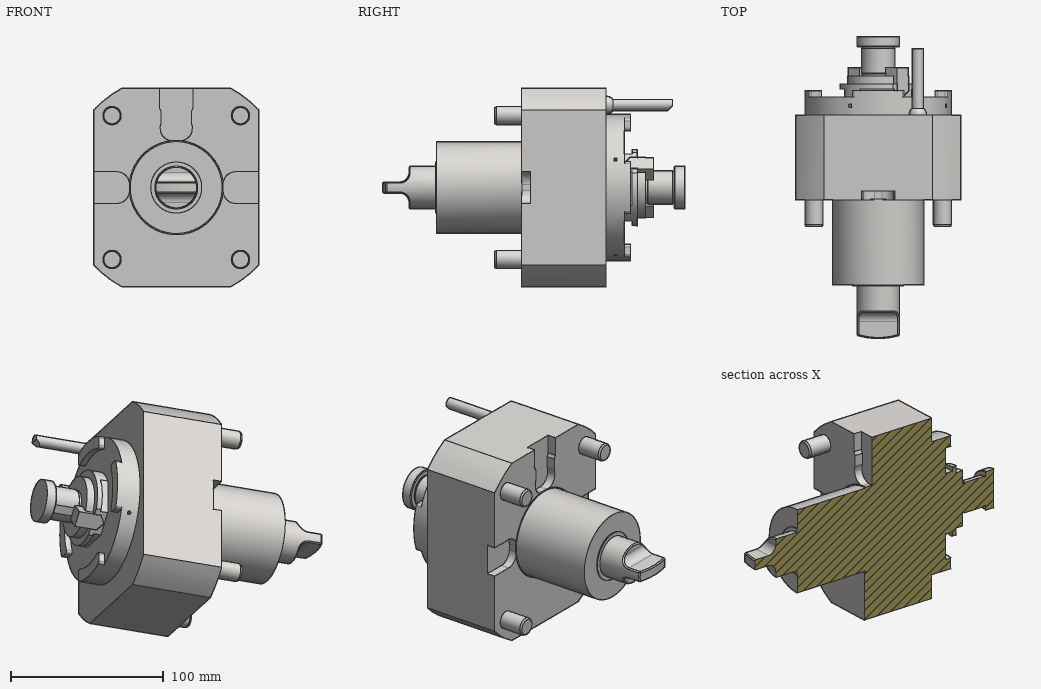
import cadquery as cq
import math


total_length = 197.5

block_width = 108.0
block_height = 130.0
block_depth = 55.5
block_corner_radius = 74.0

slot_depth = 6.0
slot_end_distance = 30.6
side_slot_width = 20.7
side_slot_corner_radius = 8.3
top_slot_half_width = 11.0
top_slot_neck_half_width = 9.9
top_slot_end_half_width = 10.5
top_slot_corner_radius = 7.9
top_slot_mouth_z = 52.1
top_slot_neck_top_z = 49.8
top_slot_neck_bottom_z = 42.0
top_slot_end_z = 40.0

pin_diameter = 12.0
pin_length = 17.4
pin_spacing_x = 84.0
pin_spacing_z = 94.0
pin_chamfer_length = 1.28
pin_chamfer_width = 0.7

barrel_diameter = 60.0
barrel_length = 55.5
groove_diameter = 61.6
groove_depth = 0.5
collar_diameter = 33.4
collar_length = 0.5
shaft_diameter = 28.0
shaft_tip_y = -90.7
tongue_shoulder_y = -73.5
tongue_thickness = 7.5
tongue_root_radius = 6.0
tongue_tip_radius = 47.4
tongue_chamfer = 0.8

disc_diameter = 96.0
disc_rim_y = 67.3
castle_top_y = 71.5
castle_width = 34.0
castle_inner_radius = 39.9
castle_edge_radius = 1.8
pinhole_diameter = 2.2
pinhole_depth = 4.0
pinhole_y = 61.6
pinhole_first_angle = 22.5

flange_diameter = 50.0
flange_bottom_y = 72.5
flange_top_y = 75.8
hub_square = 44.0
flat_offset = 23.1
rear_collar_diameter = 40.0
rear_collar_top_y = 81.2

lug_angle = 45
lug_width = 10.5
lug_inner = 12.0
lug_outer = 22.5
lug_point_y = 67.5
lug_side_bottom_y = 71.1
lug_top_y = 86.5

neck_diameter = 22.1
neck_relief_diameter = 21.1
neck_bottom_y = 82.4
neck_top_y = 99.0
neck_chamfer = 0.5
neck_flat_offset = 10.7
head_diameter = 28.0
head_bottom_y = 100.0
head_chamfer = 0.5
head_top_y = shaft_tip_y + total_length

cable_x = 25.9
cable_z = 54.0
cable_diameter = 7.5
cable_end_y = 99.0
cable_cut = 3.4
grommet_diameter = 11.7


def workplane_at(y):
    """XZ sketch plane at the given y: local x is -X, local y is Z, extrusion goes to +Y."""
    return cq.Workplane(cq.Plane(origin=(0, y, 0), xDir=(-1, 0, 0), normal=(0, 1, 0)))


def disc(diameter, y_start, y_end, x=0, z=0):
    return workplane_at(y_start).center(-x, z).circle(diameter / 2).extrude(y_end - y_start)


def box(x_range, y_range, z_range):
    size = [high - low for low, high in (x_range, y_range, z_range)]
    corner = (x_range[0], y_range[0], z_range[0])
    return cq.Workplane(cq.Solid.makeBox(*size, cq.Vector(*corner)))


def turn(shape, angle):
    """Turn a shape about the main axis, from +X towards +Z for a positive angle."""
    return shape.rotate((0, 0, 0), (0, 1, 0), -angle)


def make_block():
    half_width = block_width / 2
    half_height = block_height / 2
    body = box((-half_width, half_width), (0, block_depth), (-half_height, half_height))
    body = body.intersect(disc(2 * block_corner_radius, 0, block_depth))
    groove = disc(groove_diameter, 0, groove_depth)
    return body.cut(side_slots()).cut(top_slot()).cut(groove)


def side_slots():
    outer_end = block_width / 2
    half_width = side_slot_width / 2
    slot = box((slot_end_distance, outer_end), (0, slot_depth), (-half_width, half_width))
    slot = slot.edges("|Y and <X").fillet(side_slot_corner_radius)
    return slot.union(turn(slot, 180))


def top_slot():
    right_side = [
        (top_slot_half_width, block_height / 2),
        (top_slot_half_width, top_slot_mouth_z),
        (top_slot_neck_half_width, top_slot_neck_top_z),
        (top_slot_neck_half_width, top_slot_neck_bottom_z),
        (top_slot_end_half_width, top_slot_end_z),
        (top_slot_end_half_width, slot_end_distance),
    ]
    left_side = [(-x, z) for x, z in reversed(right_side)]
    slot = workplane_at(0).polyline(right_side + left_side).close().extrude(slot_depth)
    return slot.edges("|Y and <Z").fillet(top_slot_corner_radius)


def make_pins():
    pins = (
        workplane_at(0)
        .rect(pin_spacing_x, pin_spacing_z, forConstruction=True)
        .vertices()
        .circle(pin_diameter / 2)
        .extrude(-pin_length)
    )
    return pins.faces("<Y").chamfer(pin_chamfer_length, pin_chamfer_width)


def make_shaft():
    shaft = disc(shaft_diameter, shaft_tip_y, block_depth)
    tip_center_y = shaft_tip_y + tongue_tip_radius
    tip_round = (
        cq.Workplane("XY", origin=(0, tip_center_y, 0))
        .circle(tongue_tip_radius)
        .extrude(shaft_diameter, both=True)
    )
    tip_zone = disc(2 * shaft_diameter, tip_center_y, block_depth)
    shaft = shaft.intersect(tip_round.union(tip_zone))

    half_thickness = tongue_thickness / 2
    root_y = tongue_shoulder_y - tongue_root_radius
    root_z = half_thickness + tongue_root_radius
    sagitta = tongue_root_radius * (1 - math.sqrt(0.5))
    beyond_tip = shaft_tip_y - tongue_root_radius
    scoop = (
        cq.Workplane("YZ")
        .moveTo(beyond_tip, half_thickness)
        .lineTo(root_y, half_thickness)
        .threePointArc(
            (tongue_shoulder_y - sagitta, half_thickness + sagitta),
            (tongue_shoulder_y, root_z),
        )
        .lineTo(tongue_shoulder_y, shaft_diameter)
        .lineTo(beyond_tip, shaft_diameter)
        .close()
        .extrude(shaft_diameter, both=True)
    )
    shaft = shaft.cut(scoop).cut(scoop.mirror("XY"))

    tongue_box = cq.selectors.BoxSelector(
        (-shaft_diameter, beyond_tip, -shaft_diameter),
        (shaft_diameter, tongue_shoulder_y + tongue_chamfer, shaft_diameter),
    )
    return shaft.edges(tongue_box).edges("not |X").chamfer(tongue_chamfer)


def make_barrel():
    barrel = disc(barrel_diameter, -barrel_length, block_depth)
    return barrel.union(disc(collar_diameter, -barrel_length - collar_length, 0))


def make_castle_disc():
    base = disc(disc_diameter, block_depth, disc_rim_y)
    ring = disc(disc_diameter, disc_rim_y, castle_top_y)
    ring = ring.cut(disc(2 * castle_inner_radius, disc_rim_y, castle_top_y))
    half_width = castle_width / 2
    sector = box((0, disc_diameter), (disc_rim_y, castle_top_y), (-half_width, half_width))
    castle = ring.intersect(sector).edges("|Y").fillet(castle_edge_radius)
    hole = (
        cq.Workplane("YZ", origin=(disc_diameter / 2 - pinhole_depth, pinhole_y, 0))
        .circle(pinhole_diameter / 2)
        .extrude(2 * pinhole_depth)
    )
    for quarter in range(4):
        base = base.union(turn(castle, 90 * quarter))
        base = base.cut(turn(hole, 90 * quarter + pinhole_first_angle))
    return base


def make_hub():
    hub = disc(flange_diameter, disc_rim_y, flange_bottom_y)
    half_square = hub_square / 2
    square = (-half_square, half_square)
    hub = hub.intersect(box(square, (disc_rim_y, flange_bottom_y), square))
    hub = hub.union(disc(flange_diameter, flange_bottom_y, flange_top_y))

    between_flats = box(
        (-flat_offset, flat_offset),
        (disc_rim_y, flange_top_y),
        (-flange_diameter, flange_diameter),
    )
    hub = hub.intersect(turn(between_flats, lug_angle))
    return hub.union(disc(rear_collar_diameter, disc_rim_y, rear_collar_top_y))


def lug_prism(inner, outer):
    """Prism with the lug outline, pointed at its lower end, lying along +X."""
    half_width = lug_width / 2
    outline = [
        (lug_top_y, -half_width),
        (lug_side_bottom_y, -half_width),
        (lug_point_y, 0),
        (lug_side_bottom_y, half_width),
        (lug_top_y, half_width),
    ]
    sketch = cq.Workplane("YZ", origin=(inner, 0, 0)).polyline(outline).close()
    return sketch.extrude(outer - inner)


def add_lugs(hub):
    lug = lug_prism(lug_inner, lug_outer)
    seat = lug_prism(lug_outer, flange_diameter)
    for angle in (lug_angle, lug_angle + 180):
        hub = hub.cut(turn(seat, angle)).union(turn(lug, angle))
    return hub


def make_stud():
    neck = disc(neck_diameter, neck_bottom_y, neck_top_y).faces("<Y").chamfer(neck_chamfer)
    flat_cut = box(
        (neck_flat_offset, neck_diameter),
        (neck_bottom_y, neck_top_y),
        (-neck_diameter, neck_diameter),
    )
    neck = neck.cut(turn(flat_cut, lug_angle + 180))
    relief = disc(neck_relief_diameter, rear_collar_top_y, head_bottom_y)
    head = disc(head_diameter, head_bottom_y, head_top_y).faces("<Y").chamfer(head_chamfer)
    return neck.union(relief).union(head)


def make_cable():
    radius = cable_diameter / 2
    cable = disc(cable_diameter, block_depth, cable_end_y, cable_x, cable_z)
    end_cut = (
        cq.Workplane("YZ", origin=(cable_x, 0, 0))
        .moveTo(cable_end_y, cable_z - radius)
        .lineTo(cable_end_y - cable_cut, cable_z - radius)
        .lineTo(cable_end_y, cable_z - radius + cable_cut)
        .close()
        .extrude(cable_diameter, both=True)
    )
    grommet = cq.Workplane("XY", origin=(cable_x, block_depth, cable_z)).sphere(grommet_diameter / 2)
    grommet_side = disc(2 * grommet_diameter, block_depth, cable_end_y, cable_x, cable_z)
    return cable.cut(end_cut).union(grommet.intersect(grommet_side))


result = make_block()
for piece in (
    make_pins(),
    make_barrel(),
    make_shaft(),
    make_castle_disc(),
    add_lugs(make_hub()),
    make_stud(),
    make_cable(),
):
    result = result.union(piece)